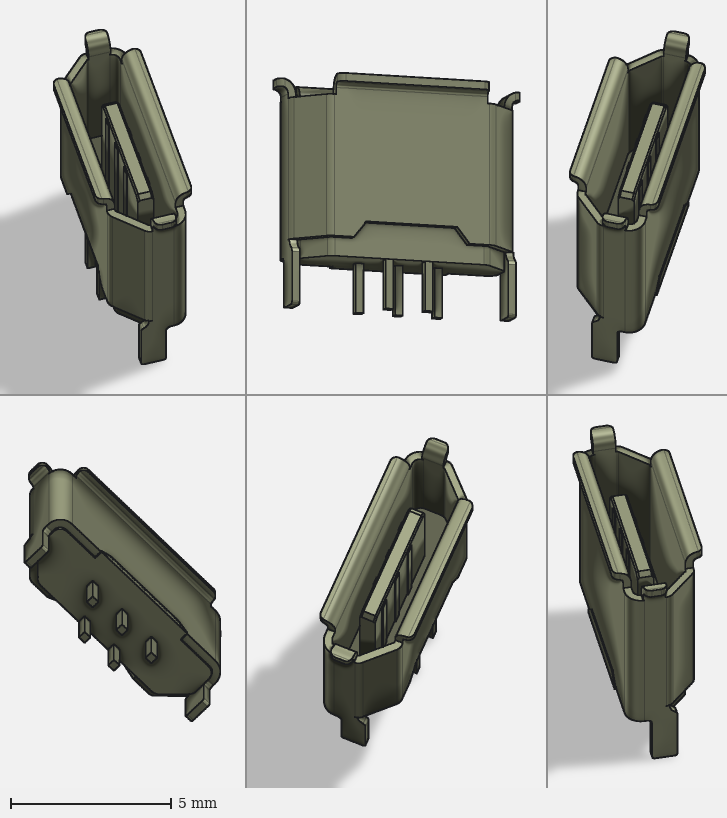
import cadquery as cq
import math

LENGTH_X = 8.0
DEPTH_Y = 2.98
TOP_Z = 5.71
PIN_TIP_Z = -1.57

WALL = 0.26
FLARE_OVERHANG = 0.31
SHELL_HALF_X = LENGTH_X / 2 - FLARE_OVERHANG
SHELL_HALF_Y = DEPTH_Y / 2 - FLARE_OVERHANG
SHELL_TOP_Z = 5.08
SHELL_FRONT_BOTTOM_Z = 0.59
SHELL_BACK_BOTTOM_Z = 0.1
BEVEL = 1.0
HALF_BEVEL_TAN = math.tan(math.radians(45 / 2))
BACK_CORNER_RADIUS = 0.52
FRONT_CORNER_RADIUS = 0.33
SHOULDER_Y = BEVEL - SHELL_HALF_Y
SIDE_FLAT_FRONT_Y = SHOULDER_Y + FRONT_CORNER_RADIUS * HALF_BEVEL_TAN

BACK_LIP_WIDTH = 5.95
FRONT_LIP_WIDTH = 4.99
SIDE_LIP_WIDTH = 0.72
SIDE_LIP_Y = 0.34
LONG_LIP_BEND = 0.16
SIDE_LIP_BEND = 0.22
LIP_CORNER_RADIUS = 0.21

WINDOW_BOTTOM_WIDTH = 3.79
WINDOW_TOP_WIDTH = 2.98
FRONT_WINDOW_TOP_Z = 1.1
BACK_WINDOW_TOP_Z = 0.44

LEG_HALF_Y = 0.41
LEG_TIP_Z = -1.5
LEG_TIP_RADIUS = 0.1
LEG_NECK_Y = -0.15
LEG_SHOULDER_Z = 0.17
LEG_NECK_SHARE = 2 / 3
LEG_ROOT_Y = 0.64
LEG_BACK_RADIUS = 0.16

FLOOR_Z = FRONT_WINDOW_TOP_Z
INSULATOR_CORNER_RADIUS = 0.32
BACK_PAD_PROUD = 0.03
TONGUE_LENGTH = 3.98
TONGUE_THICKNESS = 0.51
TONGUE_Y = 0.24
TONGUE_TOP_Z = 4.67
TONGUE_END_CHAMFER_X = 0.16
TONGUE_END_CHAMFER_Z = 0.14
TONGUE_EDGE_CHAMFER = 0.06
CONTACT_WIDTH = 0.28
CONTACT_PROUD = 0.04
CONTACT_PITCH = 1.0
CONTACT_ROW_OFFSET = 0.3
PIN_SIZE = 0.26
PIN_PITCH = 0.65
PIN_COUNT = 5
PIN_BACK_ROW_Y = 0.22
PIN_FRONT_ROW_Y = -0.78


def d_prism(inset, front_radius, back_radius, bottom_z, top_z):
    """Upright prism of the shell outline moved inwards by `inset`."""
    half_x = SHELL_HALF_X - inset
    half_y = SHELL_HALF_Y - inset
    corner_shift = inset * HALF_BEVEL_TAN
    shoulder_y = SHOULDER_Y + corner_shift
    front_half_x = SHELL_HALF_X - BEVEL - corner_shift
    corners = [
        (-half_x, half_y),
        (-half_x, shoulder_y),
        (-front_half_x, -half_y),
        (front_half_x, -half_y),
        (half_x, shoulder_y),
        (half_x, half_y),
    ]
    prism = cq.Workplane("XY").workplane(offset=bottom_z).polyline(corners).close().extrude(top_z - bottom_z)
    prism = prism.edges("|Z and (not >Y)").fillet(front_radius)
    return prism.edges("|Z and >Y").fillet(back_radius)


def lip(width, bend_radius):
    """Flared lip that leans towards +Y from a wall whose outer face is y = 0."""
    bend_z = TOP_Z - WALL - bend_radius
    mid = math.sqrt(0.5)
    outer_radius = bend_radius + WALL
    profile = (
        cq.Workplane("YZ")
        .moveTo(-WALL, SHELL_TOP_Z)
        .lineTo(-WALL, bend_z)
        .threePointArc((bend_radius - mid * outer_radius, bend_z + mid * outer_radius), (bend_radius, TOP_Z))
        .lineTo(FLARE_OVERHANG, TOP_Z)
        .lineTo(FLARE_OVERHANG, TOP_Z - WALL)
        .lineTo(bend_radius, TOP_Z - WALL)
        .threePointArc((bend_radius * (1 - mid), bend_z + mid * bend_radius), (0, bend_z))
        .lineTo(0, SHELL_TOP_Z)
        .close()
    )
    bent_strip = profile.extrude(width / 2, both=True)
    rounded_plan = (
        cq.Workplane("XY")
        .workplane(offset=SHELL_TOP_Z)
        .center(0, (FLARE_OVERHANG - WALL) / 2)
        .rect(width, FLARE_OVERHANG + WALL)
        .extrude(TOP_Z - SHELL_TOP_Z)
        .edges("|Z and >Y")
        .fillet(LIP_CORNER_RADIUS)
    )
    return bent_strip.intersect(rounded_plan)


def window_prism(bottom_z, top_z, inner_y, outer_y):
    """Trapezoidal block between two y positions, wide side down."""
    return (
        cq.Workplane("XZ", origin=(0, inner_y, 0))
        .moveTo(-WINDOW_BOTTOM_WIDTH / 2, bottom_z)
        .lineTo(WINDOW_BOTTOM_WIDTH / 2, bottom_z)
        .lineTo(WINDOW_TOP_WIDTH / 2, top_z)
        .lineTo(-WINDOW_TOP_WIDTH / 2, top_z)
        .close()
        .extrude(inner_y - outer_y)
    )


def leg(inner_x):
    """Flat board-lock leg, one wall thick, with its -X face at `inner_x`."""
    drop = SHELL_FRONT_BOTTOM_Z - LEG_SHOULDER_Z
    step = LEG_HALF_Y + LEG_NECK_Y
    radius_sum = (drop**2 + step**2) / (2 * step)
    neck_radius = radius_sum * LEG_NECK_SHARE
    shoulder_radius = radius_sum - neck_radius
    join = (LEG_NECK_Y - step * LEG_NECK_SHARE, SHELL_FRONT_BOTTOM_Z - drop * LEG_NECK_SHARE)

    plate = (
        cq.Workplane("YZ", origin=(inner_x, 0, 0))
        .moveTo(LEG_NECK_Y, SHELL_FRONT_BOTTOM_Z)
        .radiusArc(join, neck_radius)
        .radiusArc((-LEG_HALF_Y, LEG_SHOULDER_Z), -shoulder_radius)
        .lineTo(-LEG_HALF_Y, LEG_TIP_Z)
        .lineTo(LEG_HALF_Y, LEG_TIP_Z)
        .lineTo(LEG_HALF_Y, SHELL_BACK_BOTTOM_Z)
        .lineTo(LEG_ROOT_Y, SHELL_BACK_BOTTOM_Z)
        .lineTo(LEG_ROOT_Y, SHELL_FRONT_BOTTOM_Z)
        .close()
        .extrude(WALL)
    )
    plate = plate.faces("<Z").edges("|X").fillet(LEG_TIP_RADIUS)
    back_corner = (inner_x + WALL / 2, LEG_HALF_Y, SHELL_BACK_BOTTOM_Z)
    return plate.edges(cq.selectors.NearestToPointSelector(back_corner)).fillet(LEG_BACK_RADIUS)


def make_shell():
    """Folded shell with flared lips at the mouth and two legs."""
    outside = d_prism(0, FRONT_CORNER_RADIUS, BACK_CORNER_RADIUS, SHELL_BACK_BOTTOM_Z, SHELL_TOP_Z)
    inside = d_prism(
        WALL, FRONT_CORNER_RADIUS - WALL, BACK_CORNER_RADIUS - WALL, SHELL_BACK_BOTTOM_Z, SHELL_TOP_Z
    )
    shell = outside.cut(inside)

    trim_depth = SIDE_FLAT_FRONT_Y + SHELL_HALF_Y
    trim_height = SHELL_FRONT_BOTTOM_Z - SHELL_BACK_BOTTOM_Z
    front_trim = cq.Workplane("XY").box(LENGTH_X, trim_depth, trim_height, centered=(True, False, False))
    shell = shell.cut(front_trim.translate((0, -SHELL_HALF_Y, SHELL_BACK_BOTTOM_Z)))

    front_window = window_prism(
        SHELL_FRONT_BOTTOM_Z, FRONT_WINDOW_TOP_Z, WALL - SHELL_HALF_Y, -SHELL_HALF_Y
    )
    back_window = window_prism(SHELL_BACK_BOTTOM_Z, BACK_WINDOW_TOP_Z, SHELL_HALF_Y - WALL, SHELL_HALF_Y)
    shell = shell.cut(front_window).cut(back_window)

    back_lip = lip(BACK_LIP_WIDTH, LONG_LIP_BEND).translate((0, SHELL_HALF_Y, 0))
    front_lip = lip(FRONT_LIP_WIDTH, LONG_LIP_BEND).rotate((0, 0, 0), (0, 0, 1), 180)
    shell = shell.union(back_lip).union(front_lip.translate((0, -SHELL_HALF_Y, 0)))

    for side in (-1, 1):
        side_lip = lip(SIDE_LIP_WIDTH, SIDE_LIP_BEND).rotate((0, 0, 0), (0, 0, 1), -90 * side)
        shell = shell.union(side_lip.translate((side * SHELL_HALF_X, SIDE_LIP_Y, 0)))
        shell = shell.union(leg(side * (SHELL_HALF_X - WALL / 2) - WALL / 2))
    return shell


def make_tongue():
    """Tongue standing on the insulator floor, chamfered at its tip."""
    height = TONGUE_TOP_Z - FLOOR_Z
    half_length = TONGUE_LENGTH / 2
    chamfer_start_z = height - TONGUE_END_CHAMFER_Z
    tongue = (
        cq.Workplane("XZ", origin=(0, TONGUE_Y, FLOOR_Z))
        .moveTo(-half_length, 0)
        .lineTo(half_length, 0)
        .lineTo(half_length, chamfer_start_z)
        .lineTo(half_length - TONGUE_END_CHAMFER_X, height)
        .lineTo(TONGUE_END_CHAMFER_X - half_length, height)
        .lineTo(-half_length, chamfer_start_z)
        .close()
        .extrude(TONGUE_THICKNESS / 2, both=True)
    )
    return tongue.edges("(>Y or <Y) and (not |Z) and (not <Z)").chamfer(TONGUE_EDGE_CHAMFER)


def make_contacts():
    """Contact strips on both faces of the tongue, the two rows staggered."""
    height = TONGUE_TOP_Z - TONGUE_END_CHAMFER_Z - FLOOR_Z
    strips = cq.Workplane("XY")
    for face in (-1, 1):
        y = TONGUE_Y + face * (TONGUE_THICKNESS + CONTACT_PROUD) / 2
        for step in (-1, 0, 1):
            x = face * CONTACT_ROW_OFFSET + step * CONTACT_PITCH
            strip = cq.Workplane("XY").box(
                CONTACT_WIDTH, CONTACT_PROUD, height, centered=(True, True, False)
            )
            strips = strips.add(strip.translate((x, y, FLOOR_Z)))
    return strips


def make_pins():
    """Square solder pins, alternating between the back and front rows."""
    pins = cq.Workplane("XY")
    for index in range(PIN_COUNT):
        x = (index - (PIN_COUNT - 1) / 2) * PIN_PITCH
        y = PIN_BACK_ROW_Y if index % 2 == 0 else PIN_FRONT_ROW_Y
        pin = cq.Workplane("XY").box(PIN_SIZE, PIN_SIZE, -PIN_TIP_Z, centered=(True, True, False))
        pins = pins.add(pin.translate((x, y, PIN_TIP_Z)))
    return pins


def make_insulator():
    """Insulator block with its tongue, contacts and pins as one body."""
    block = d_prism(WALL, INSULATOR_CORNER_RADIUS, INSULATOR_CORNER_RADIUS, 0, FLOOR_Z)

    back_y = SHELL_HALF_Y - WALL
    pad_y = SHELL_HALF_Y + BACK_PAD_PROUD
    pad = window_prism(SHELL_BACK_BOTTOM_Z, BACK_WINDOW_TOP_Z, back_y, pad_y)
    pad_foot = cq.Workplane("XY").box(
        WINDOW_BOTTOM_WIDTH, pad_y - back_y, SHELL_BACK_BOTTOM_Z, centered=(True, False, False)
    )
    insulator = block.union(pad).union(pad_foot.translate((0, back_y, 0))).union(make_tongue())

    for piece in make_contacts().vals() + make_pins().vals():
        insulator = insulator.union(cq.Workplane(piece))
    return insulator


shell = make_shell()
insulator = make_insulator()
result = cq.Compound.makeCompound([shell.solids().val(), insulator.solids().val()])